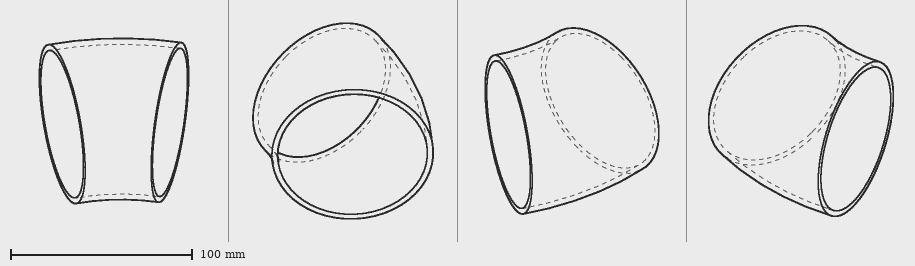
import cadquery as cq
import math

overall_length = 98.3
bend_radius = 114.5
bend_angle = 30.0
wall_thickness = 3.2

bend_cosine = math.cos(math.radians(bend_angle))
outer_radius = (overall_length - bend_radius * (1 - bend_cosine)) / (1 + bend_cosine)
inner_radius = outer_radius - wall_thickness

axis_start = (bend_radius, 0)
axis_end = (bend_radius, -1)

result = (
    cq.Workplane("XZ")
    .circle(outer_radius)
    .circle(inner_radius)
    .revolve(bend_angle, axis_start, axis_end)
)